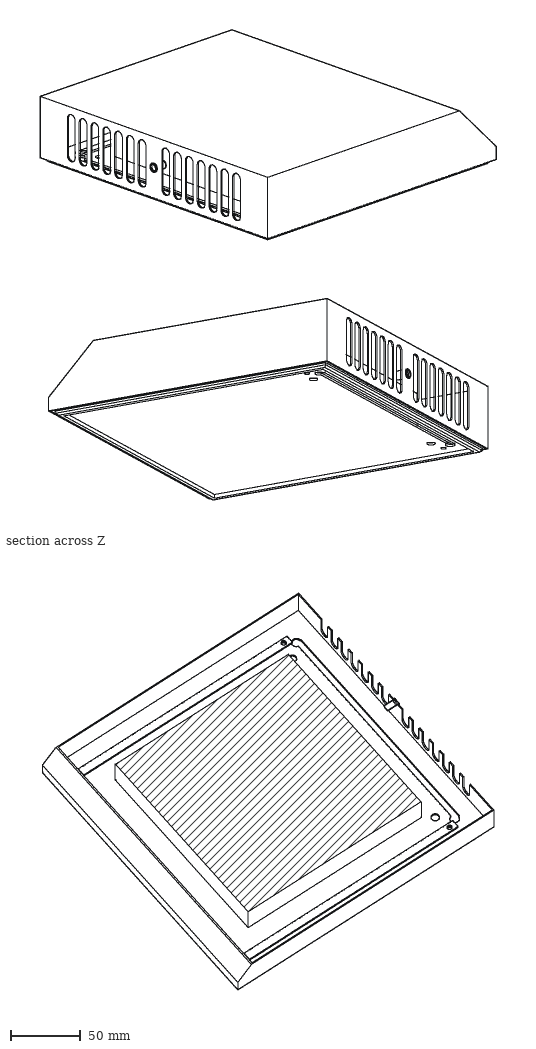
import cadquery as cq

WIDTH = 231.5
TOTAL_HEIGHT = 50.0
HOUSING_DEPTH = 229.5
SHEET = 1.2
BOTH_WALLS = 2 * SHEET

HOUSING_BOTTOM = 3.0
SLOPE = 37.0
HOUSING_HEIGHT = TOTAL_HEIGHT - HOUSING_BOTTOM
MID_HEIGHT = HOUSING_BOTTOM + HOUSING_HEIGHT / 2

SLOTS_PER_GROUP = 7
LAST_SLOT_X = 84.0
SLOT_PITCH = LAST_SLOT_X / SLOTS_PER_GROUP
SLOT_WIDTH = 7.9
SLOT_HEIGHT = 35.9

BASE_TOP = 4.5
BASE_FLOOR = 1.6
BASE_INSET = 3.0
BASE_REAR_INSET = 4.0
BASE_BEVEL = 1.5
BASE_RIM = 4.6
GAP_START = 14.5
GAP_WIDTH = 4.9
GAP_LENGTH = 187.5
GAP_END_DIAMETER = 7.0
GAP_END_Y = 18.7
FLOOR_HOLE_DIAMETER = 6.0
FLOOR_HOLE_X = 84.5
FLOOR_HOLE_Y = 29.2

RAIL_WIDTH = 6.5
RAIL_HEIGHT = 1.5
RAIL_X = 98.0
RAIL_FRONT = 21.3
RAIL_LENGTH = HOUSING_DEPTH - 2 * RAIL_FRONT
RAIL_HOLE_DIAMETER = 3.7
RAIL_HOLE_Y = 26.5

BOX_WIDTH = 157.4
BOX_FRONT = 37.3
BOX_TOP = 40.3
BOX_DEPTH = HOUSING_DEPTH - 2 * BOX_FRONT

HEAD_DIAMETER = 7.0
HEAD_FACE_DIAMETER = 6.0
HEAD_THICKNESS = 1.0
SHANK_DIAMETER = 6.5
SHANK_LENGTH = 9.3
BORE_DIAMETER = 5.0


def block(width, y_front, y_rear, z_bottom, z_top):
    """Box centred on X = 0 between the given Y and Z limits."""
    return (
        cq.Workplane("XY")
        .box(width, y_rear - y_front, z_top - z_bottom, centered=(True, False, False))
        .translate((0, y_front, z_bottom))
    )


def upright_holes(diameter, x, y):
    """Pair of vertical cutters at X = +x and X = -x, reaching up through the rails."""
    return (
        cq.Workplane("XY")
        .pushPoints([(-x, y), (x, y)])
        .circle(diameter / 2)
        .extrude(BASE_TOP + RAIL_HEIGHT)
    )


def rod(diameter, y_front, y_rear):
    """Cylinder along Y on the axis of the insert."""
    return (
        cq.Workplane("XZ", origin=(0, y_front, MID_HEIGHT))
        .circle(diameter / 2)
        .extrude(y_front - y_rear)
    )


def make_housing():
    shell = block(WIDTH, 0, HOUSING_DEPTH, HOUSING_BOTTOM, TOTAL_HEIGHT)
    shell = shell.faces(">Y").edges(">Z").chamfer(SLOPE)
    shell = shell.faces("<Z").shell(-SHEET)
    slot_centres = [
        (side * SLOT_PITCH * number, MID_HEIGHT)
        for side in (-1, 1)
        for number in range(1, SLOTS_PER_GROUP + 1)
    ]
    slots = (
        cq.Workplane("XZ")
        .pushPoints(slot_centres)
        .slot2D(SLOT_HEIGHT, SLOT_WIDTH, 90)
        .extrude(-BOTH_WALLS)
    )
    return shell.cut(slots).cut(rod(SHANK_DIAMETER, 0, SHEET))


def make_base():
    plate = block(WIDTH - BOTH_WALLS, SHEET, HOUSING_DEPTH - SHEET, HOUSING_BOTTOM, BASE_TOP)
    step_rear = HOUSING_DEPTH - BASE_REAR_INSET
    step = block(WIDTH - 2 * BASE_INSET, BASE_INSET, step_rear, 0, HOUSING_BOTTOM)
    step = step.faces("<Z").edges().chamfer(BASE_BEVEL)
    recess = block(
        WIDTH - 2 * (BASE_INSET + BASE_RIM),
        BASE_INSET + BASE_RIM,
        step_rear - BASE_RIM,
        0,
        BASE_TOP - BASE_FLOOR,
    )
    gap = block(GAP_LENGTH, GAP_START, GAP_START + GAP_WIDTH, 0, BASE_TOP)
    base = plate.union(step).cut(recess).cut(gap)
    base = base.cut(upright_holes(GAP_END_DIAMETER, GAP_LENGTH / 2, GAP_END_Y))
    base = base.cut(upright_holes(FLOOR_HOLE_DIAMETER, FLOOR_HOLE_X, FLOOR_HOLE_Y))
    return base.cut(upright_holes(RAIL_HOLE_DIAMETER, RAIL_X, RAIL_HOLE_Y))


def make_rail(side):
    """Rail along Y; side is -1 or +1 for the -X or +X rail."""
    bar = block(RAIL_WIDTH, RAIL_FRONT, RAIL_FRONT + RAIL_LENGTH, BASE_TOP, BASE_TOP + RAIL_HEIGHT)
    bar = bar.translate((side * RAIL_X, 0, 0))
    return bar.cut(upright_holes(RAIL_HOLE_DIAMETER, RAIL_X, RAIL_HOLE_Y))


def make_inner_box():
    return block(BOX_WIDTH, BOX_FRONT, BOX_FRONT + BOX_DEPTH, BASE_TOP, BOX_TOP)


def make_insert():
    head = rod(HEAD_DIAMETER, -HEAD_THICKNESS, 0)
    head = head.faces("<Y").edges().chamfer((HEAD_DIAMETER - HEAD_FACE_DIAMETER) / 2)
    shank = rod(SHANK_DIAMETER, 0, SHANK_LENGTH)
    return head.union(shank).cut(rod(BORE_DIAMETER, -HEAD_THICKNESS, SHANK_LENGTH))


housing = make_housing()
base = make_base()
inner_box = make_inner_box()
insert = make_insert()
rails = [make_rail(side) for side in (-1, 1)]

result = cq.Compound.makeCompound(
    [housing.val(), base.val(), inner_box.val(), insert.val(), *[rail.val() for rail in rails]]
)